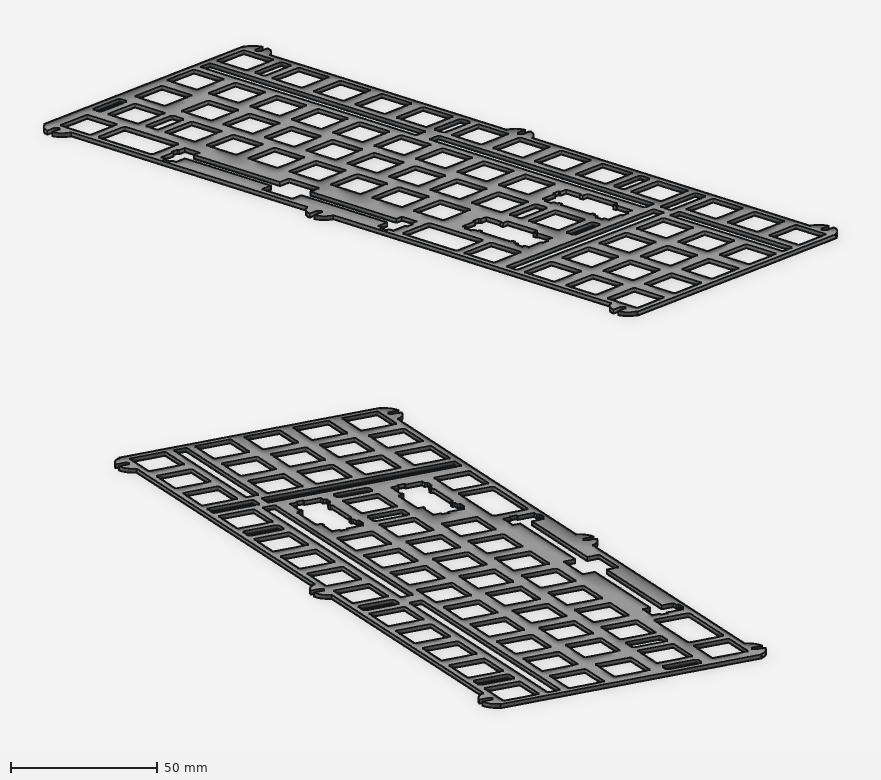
import cadquery as cq
import math


plate_length = 273.0
overall_width = 110.0
thickness = 1.5
key_opening = 14.0
rim = 2.5
web = 3.3
bridge = 6.0

row_gap = 1 / 3
block_gap = 1 / 3
last_main_column = 10
first_pad_column = last_main_column + 1 + block_gap
last_column = first_pad_column + 2
top_row = 4 + row_gap
space_column = last_main_column / 2

field_length = plate_length - 2 * rim
half_field = field_length / 2
half_key = key_opening / 2
pitch = (field_length - key_opening) / last_column
field_width = top_row * pitch + key_opening
half_field_width = field_width / 2
body_width = field_width + 2 * rim

key_radius = 0.5
slot_radius = 1.0

ear_radius = 6.3
ear_slot_width = 2.2
ear_slot_depth = 4.6
ear_tip_drop = ear_radius - math.sqrt(ear_radius**2 - (ear_slot_width / 2)**2)
ear_tip = overall_width / 2 + ear_tip_drop

stabiliser_width = 6.8
stabiliser_top = 5.2
stabiliser_bottom = -6.8
foot_width = 3.0
foot_bottom = -8.0
notch_depth = 0.8
notch_top = 2.3
notch_bottom = -0.5
wide_key_stabiliser = 11.7
wide_key_neck_top = 4.6
wide_key_neck_bottom = -6.0
space_stabiliser = 50.0
space_channel_half = 2.3

cut_depth = 2 * thickness


def column_x(column):
    return -half_field + half_key + column * pitch


def row_y(row):
    return -half_field_width + half_key + row * pitch


def opening(left, right, bottom, top, radius=0):
    """Cutter for a rectangular opening with optional round corners."""
    cutter = (
        cq.Workplane("XY")
        .center((left + right) / 2, (bottom + top) / 2)
        .rect(right - left, top - bottom)
        .extrude(cut_depth, both=True)
    )
    if radius:
        cutter = cutter.edges("|Z").fillet(radius)
    return cutter


def key_cutter(column, row):
    x = column_x(column)
    y = row_y(row)
    return opening(x - half_key, x + half_key, y - half_key, y + half_key, key_radius)


def row_relief(left, right, row):
    """Relief opening as tall as the keys of its row."""
    y = row_y(row)
    return opening(left, right, y - half_key, y + half_key, slot_radius)


def slot_between(left_column, right_column, row):
    """Relief slot between two neighbouring keys."""
    left = column_x(left_column) + half_key + web
    right = column_x(right_column) - half_key - web
    return row_relief(left, right, row)


def stabiliser(column, row, offset):
    """Cutter for one stabiliser housing; the sign of offset is its side of the key."""
    x = column_x(column) + offset
    y = row_y(row)
    half_width = stabiliser_width / 2
    notch_end = x + math.copysign(half_width + notch_depth, offset)
    housing = opening(x - half_width, x + half_width, y + stabiliser_bottom, y + stabiliser_top)
    foot = opening(x - foot_width / 2, x + foot_width / 2, y + foot_bottom, y)
    notch = opening(min(x, notch_end), max(x, notch_end), y + notch_bottom, y + notch_top)
    return housing.union(foot).union(notch)


def stabilised_key(column, row, offset, channel_bottom, channel_top):
    """Cutter for a key with a stabiliser on each side and a channel joining them."""
    x = column_x(column)
    y = row_y(row)
    channel = opening(x - offset, x + offset, y + channel_bottom, y + channel_top)
    cutter = key_cutter(column, row).union(channel)
    for side in (-1, 1):
        cutter = cutter.union(stabiliser(column, row, side * offset))
    return cutter


middle_ear_column = 6 + block_gap / 2
corner_ear_x = plate_length / 2 - ear_radius
ear_positions = [-corner_ear_x, column_x(middle_ear_column), corner_ear_x]
ear_centres = [(x, side * (ear_tip - ear_radius)) for x in ear_positions for side in (-1, 1)]

body = cq.Workplane("XY").rect(plate_length, body_width).extrude(thickness / 2, both=True)
ears = cq.Workplane("XY").pushPoints(ear_centres).circle(ear_radius).extrude(thickness / 2, both=True)
plate = body.union(ears)

screw_slots = (
    cq.Workplane("XY")
    .pushPoints([(x, math.copysign(ear_tip, y)) for x, y in ear_centres])
    .slot2D(2 * ear_slot_depth, ear_slot_width, 90)
    .extrude(cut_depth, both=True)
)

pad_columns = [first_pad_column + i for i in range(3)]
function_columns = (
    [0]
    + [1 + block_gap + i for i in range(4)]
    + [5 + 2 * block_gap + i for i in range(4)]
    + [last_main_column]
)
number_columns = list(range(9))
tab_key = 1 / 8
enter_key = 9 + 5 / 8
letter_columns = [tab_key] + [1 + 1 / 4 + i for i in range(8)] + [enter_key]
left_shift = 3 / 8
shift_columns = [left_shift] + [1 + 3 / 4 + i for i in range(7)]
outer_modifier = 1 / 8
bottom_columns = [outer_modifier, last_main_column - outer_modifier]

key_rows = {
    top_row: function_columns,
    3: number_columns,
    2: letter_columns,
    1: shift_columns,
    0: bottom_columns,
}
cutters = [key_cutter(column, row) for row in key_rows for column in key_rows[row] + pad_columns]

backspace = 9 + 1 / 2
right_shift = 9 + 3 / 8
for column, row in [(backspace, 3), (right_shift, 1)]:
    cutters.append(
        stabilised_key(column, row, wide_key_stabiliser, wide_key_neck_bottom, wide_key_neck_top)
    )
cutters.append(
    stabilised_key(space_column, 0, space_stabiliser, -space_channel_half, space_channel_half)
)

main_right = column_x(last_main_column) + half_key
for left_column, right_column in zip(function_columns, function_columns[1:]):
    if right_column - left_column > 1 + block_gap / 2:
        cutters.append(slot_between(left_column, right_column, top_row))
cutters.append(slot_between(letter_columns[-2], enter_key, 2))
cutters.append(row_relief(column_x(enter_key) + half_key + web, main_right, 2))
cutters.append(slot_between(left_shift, shift_columns[1], 1))
cutters.append(row_relief(-half_field, column_x(left_shift) - half_key - web, 1))

space_x = column_x(space_column)
wide_inner = space_stabiliser + stabiliser_width / 2 + notch_depth + web
wide_outer = space_x - column_x(outer_modifier) - half_key - web
cutters.append(row_relief(space_x - wide_outer, space_x - wide_inner, 0))
cutters.append(row_relief(space_x + wide_inner, space_x + wide_outer, 0))

channel_bottom = row_y(3) + half_key + web
channel_top = row_y(top_row) - half_key - web
pad_left = column_x(first_pad_column) - half_key
long_slots = [
    (-half_field, space_x - bridge / 2),
    (space_x + bridge / 2, main_right),
    (pad_left, half_field),
]
for left, right in long_slots:
    cutters.append(opening(left, right, channel_bottom, channel_top, key_radius))

channel_middle = (channel_bottom + channel_top) / 2
upright_spans = [
    (-half_field_width, channel_middle - web / 2),
    (channel_middle + web / 2, half_field_width),
]
for bottom, top in upright_spans:
    cutters.append(opening(main_right + web, pad_left - web, bottom, top, key_radius))

all_openings = cq.Compound.makeCompound([cutter.val() for cutter in cutters] + screw_slots.vals())
result = plate.cut(cq.Workplane("XY").newObject([all_openings]))